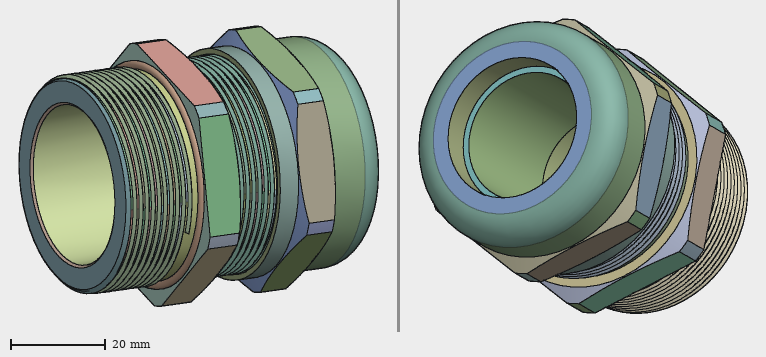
import cadquery as cq
import math


TILT_UP = 1.15
TILT_SIDE = 0.5

SEAL_FRONT = 23.35
NUT_FRONT = 18.0
NUT_REAR = 26.6
SKIRT_FRONT = 36.55
CAP_HEX_FRONT = 41.05
CAP_HEX_REAR = 49.95
HOUSING_REAR = 51.3
SEAL_REAR = 56.45
OVERALL_LENGTH = 63.25

CORE_DIA = 45.35
BORE_DIA = 34.4
BORE_MOUTH_DIA = 35.4
FRONT_FACE_DIA = 44.65

TURN_COUNT = 10
TURNS_LENGTH = 15.0
THREAD_PITCH = TURNS_LENGTH / TURN_COUNT
THREAD_CREST_DIA = 46.95
RIDGE_BASE = 1.0
RIDGE_ROOT_OVERLAP = 0.1
FRONT_THREAD_START = -THREAD_PITCH
FRONT_THREAD_END = 15.65
FRONT_THREAD_PHASE = 224.0
REAR_THREAD_START = 28.0
REAR_THREAD_END = 42.3
REAR_THREAD_PHASE = 279.0

HEX_FLATS = 50.0
HEX_CORNER_DIA = 56.1
HEX_TURN = -12.5
HEX_CHAMFER_ANGLE = 22.0

ORING_SECTION = 1.8
ORING_CENTRE = NUT_FRONT

CAP_DIA = 49.6
CAP_EDGE_RADIUS = 5.8
CAP_BORE_DIA = 47.2
CAP_MOUTH_DIA = 30.9

SEAL_BORE_DIA = 28.2
SEAL_DIA = 39.4


def cylinder(diameter, start, end):
    return cq.Workplane("XY").workplane(offset=start).circle(diameter / 2).extrude(end - start)


def hexagon(front, rear, chamfer_front):
    """Hexagon with rounded corners and a chamfered rear face; the front chamfer is optional."""
    prism = (
        cq.Workplane("XY").workplane(offset=front)
        .polygon(6, HEX_FLATS, circumscribed=True)
        .extrude(rear - front)
        .rotate((0, 0, 0), (0, 0, 1), HEX_TURN)
    )
    corner_radius = HEX_CORNER_DIA / 2
    face_radius = CAP_DIA / 2
    drop = (corner_radius - face_radius) * math.tan(math.radians(HEX_CHAMFER_ANGLE))
    outline = [(0, rear), (face_radius, rear), (corner_radius, rear - drop)]
    if chamfer_front:
        outline += [(corner_radius, front + drop), (face_radius, front)]
    else:
        outline += [(corner_radius, front)]
    outline += [(0, front)]
    blank = cq.Workplane("XZ").polyline(outline).close().revolve(360, (0, 0, 0), (0, 1, 0))
    return prism.intersect(blank)


def thread_ridge(start, end, phase):
    """Right-handed V ridge wound on the housing core between two stations."""
    base_radius = CORE_DIA / 2 - RIDGE_ROOT_OVERLAP
    crest_radius = THREAD_CREST_DIA / 2
    height_ratio = (crest_radius - base_radius) / (crest_radius - CORE_DIA / 2)
    half_base = RIDGE_BASE / 2 * height_ratio
    path = cq.Wire.makeHelix(THREAD_PITCH, end - start, base_radius)
    ridge = (
        cq.Workplane("XZ")
        .polyline([(base_radius, -half_base), (crest_radius, 0), (base_radius, half_base)])
        .close()
        .sweep(cq.Workplane(obj=path), isFrenet=True)
    )
    return ridge.rotate((0, 0, 0), (0, 0, 1), phase).translate((0, 0, start))


def make_oring():
    ring_radius = (CORE_DIA + ORING_SECTION) / 2
    return (
        cq.Workplane("XZ").center(ring_radius, ORING_CENTRE)
        .circle(ORING_SECTION / 2)
        .revolve(360, (-ring_radius, 0, 0), (-ring_radius, 1, 0))
    )


def make_threaded_core():
    """Core with both threads; a 45 degree lead-in trims the core and the first turn."""
    core = cylinder(CORE_DIA, 0, HOUSING_REAR)
    core = core.union(thread_ridge(FRONT_THREAD_START, FRONT_THREAD_END, FRONT_THREAD_PHASE))
    core = core.union(thread_ridge(REAR_THREAD_START, REAR_THREAD_END, REAR_THREAD_PHASE))
    lead_in = (HEX_CORNER_DIA - FRONT_FACE_DIA) / 2
    envelope = cylinder(HEX_CORNER_DIA, 0, HOUSING_REAR).faces("<Z").chamfer(lead_in)
    return core.intersect(envelope)


def make_housing():
    body = make_threaded_core().union(hexagon(NUT_FRONT, NUT_REAR, chamfer_front=False))
    bore = cylinder(BORE_DIA, 0, SEAL_FRONT)
    mouth_depth = (BORE_MOUTH_DIA - BORE_DIA) / 2
    mouth = cq.Workplane(obj=cq.Solid.makeCone(BORE_MOUTH_DIA / 2, BORE_DIA / 2, mouth_depth))
    seal_seat = cylinder(SEAL_DIA, SEAL_FRONT, HOUSING_REAR)
    oring_groove = make_oring()
    return body.cut(bore).cut(mouth).cut(seal_seat).cut(oring_groove)


def make_cap_nut():
    shell = cylinder(CAP_DIA, SKIRT_FRONT, OVERALL_LENGTH).faces(">Z").edges().fillet(CAP_EDGE_RADIUS)
    shell = shell.union(hexagon(CAP_HEX_FRONT, CAP_HEX_REAR, chamfer_front=True))
    thread_bore = cylinder(CAP_BORE_DIA, SKIRT_FRONT, HOUSING_REAR)
    seal_pocket = cylinder(SEAL_DIA, HOUSING_REAR, SEAL_REAR)
    mouth = cylinder(CAP_MOUTH_DIA, SEAL_REAR, OVERALL_LENGTH)
    return shell.cut(thread_bore).cut(seal_pocket).cut(mouth)


def make_seal():
    sleeve = cylinder(SEAL_DIA, SEAL_FRONT, SEAL_REAR)
    return sleeve.cut(cylinder(SEAL_BORE_DIA, SEAL_FRONT, SEAL_REAR))


axis = (-math.tan(math.radians(TILT_SIDE)), 1, -math.tan(math.radians(TILT_UP)))
pose = cq.Location(cq.Plane(origin=(0, 0, 0), xDir=(1, 0, 0), normal=axis))

housing = make_housing()
oring = make_oring()
cap_nut = make_cap_nut()
seal = make_seal()

result = cq.Compound.makeCompound(
    [body.solids().val().moved(pose) for body in (housing, oring, cap_nut, seal)]
)